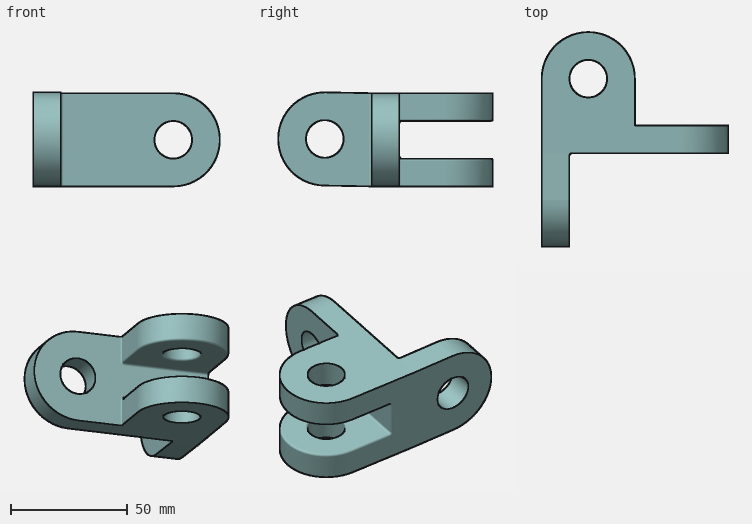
import cadquery as cq

length_x = 80.0
length_y = 92.0
hole_diameter = 16.0
lug_rise = 0.4
edge_round = 0.9
lug_root_radius = 1.1
cheek_root_radius = 0.55

end_radius = length_x / 4
width = 2 * end_radius
thickness = length_y - 2 * width
slot_gap = width - 2 * thickness

clevis_hole = (end_radius, thickness + end_radius)
arm_hole_x = length_x - end_radius
lug_hole = (-end_radius, lug_rise)


def make_clevis():
    """Round-ended block whose slot leaves two cheeks above a floor flush with the arm."""
    block = (
        cq.Workplane("XY")
        .workplane(offset=-end_radius)
        .moveTo(0, 0)
        .lineTo(width, 0)
        .lineTo(width, clevis_hole[1])
        .threePointArc((end_radius, thickness + width), (0, clevis_hole[1]))
        .close()
        .extrude(width)
    )
    bore = (
        cq.Workplane("XY")
        .workplane(offset=-end_radius)
        .center(*clevis_hole)
        .circle(hole_diameter / 2)
        .extrude(width)
    )
    slot = (
        cq.Workplane("XY")
        .box(width, width, slot_gap, centered=(False, False, True))
        .translate((0, thickness, 0))
        .edges("|X and <Y")
        .fillet(edge_round)
    )
    return block.cut(bore).cut(slot)


def round_slot_edges(clevis):
    """Round the slot mouth, the inner rims of the cheeks and the inner rims of the bore."""
    margin = edge_round / 2
    slot_region = cq.selectors.BoxSelector(
        (-margin, thickness - margin, -slot_gap / 2 - margin),
        (width + margin, thickness + width + margin, slot_gap / 2 + margin),
        boundingbox=True,
    )
    rims = clevis.edges(slot_region).edges("not |X")
    return rims.fillet(edge_round)


def make_arm():
    """Round-ended plate along X, starting inside the clevis block clear of its rounded edges."""
    return (
        cq.Workplane("XZ")
        .moveTo(end_radius, -end_radius)
        .lineTo(arm_hole_x, -end_radius)
        .threePointArc((length_x, 0), (arm_hole_x, end_radius))
        .lineTo(end_radius, end_radius)
        .close()
        .moveTo(arm_hole_x, 0)
        .circle(hole_diameter / 2)
        .extrude(-thickness)
    )


def make_side_lug():
    """Round-ended plate along -Y, leaning up slightly towards its end."""
    center_y, center_z = lug_hole
    return (
        cq.Workplane("YZ")
        .moveTo(0, -end_radius)
        .lineTo(center_y, center_z - end_radius)
        .threePointArc((center_y - end_radius, center_z), (center_y, center_z + end_radius))
        .lineTo(0, end_radius)
        .close()
        .moveTo(center_y, center_z)
        .circle(hole_diameter / 2)
        .extrude(thickness)
    )


def round_root(body, x, y, radius):
    """Fillet the vertical inside corner at (x, y)."""
    reach = radius / 2
    corner = cq.selectors.BoxSelector(
        (x - reach, y - reach, -width), (x + reach, y + reach, width)
    )
    return body.edges("|Z").edges(corner).fillet(radius)


clevis = round_slot_edges(make_clevis())
body = clevis.union(make_arm()).union(make_side_lug())
body = round_root(body, thickness, 0, lug_root_radius)
result = round_root(body, width, thickness, cheek_root_radius)